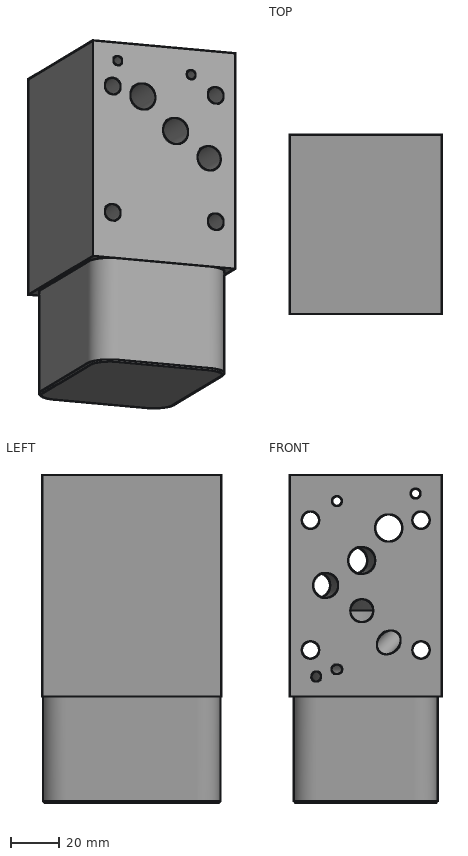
import cadquery as cq
import math

BLOCK_WIDTH = 63.5
BLOCK_DEPTH = 74.7
TOTAL_HEIGHT = 136.5
HOUSING_HEIGHT = 44.2
BLOCK_HEIGHT = TOTAL_HEIGHT - HOUSING_HEIGHT

HOUSING_WIDTH = 60.1
HOUSING_DEPTH = 74.0
HOUSING_CORNER_RADIUS = 9.5
HOUSING_BOTTOM_CHAMFER = 0.8

STRAIGHT_IN = (0, 1, 0)
THROUGH_LENGTH = 1.1 * BLOCK_DEPTH

MOUNT_DIAMETER = 7.1
MOUNT_SPACING_X = 46.0
MOUNT_SPACING_Z = 54.0
MOUNT_BOTTOM_Z = 19.4

TANK_PORT_X = 9.5
PILOT_X = -12.0
PILOT_DIAMETER = 4.0
STRAIGHT_HOLES = [
    (TANK_PORT_X, 70.2, 11.2),
    (PILOT_X, 81.4, PILOT_DIAMETER),
    (20.8, 84.5, PILOT_DIAMETER),
]

WORK_PORT_X = -1.6
LEAN_SHIFT = 3.4
LEANING_PORTS = [
    (WORK_PORT_X, 56.7, 11.2),
    (-16.7, 46.3, 10.4),
]

OBLIQUE_DEPTH_RATIO = 3.2
OBLIQUE_HOLES = [
    (TANK_PORT_X, 22.5, 8.9, 35.0, 45.0),
    (PILOT_X, 11.3, PILOT_DIAMETER, 28.0, 180.0),
    (-20.6, 8.3, PILOT_DIAMETER, 22.0, -100.0),
]

BORE_RADIUS = 13.0
CARTRIDGE_PORT_Z = 35.8
CARTRIDGE_PORT_DIAMETER = 9.5
BORE_POINT_ANGLE = 118.0


def drill(x, z, diameter, length, direction):
    """Cylinder entering the port face at (x, z); starts outside the face and ends `length` beyond it."""
    axis = cq.Vector(*direction).normalized()
    start = cq.Vector(x, 0, z) - axis * diameter
    return cq.Workplane(cq.Solid.makeCylinder(diameter / 2, length + diameter, start, axis))


def oblique_drill(x, z, diameter, tilt, heading):
    """Blind hole tilted away from +Y by `tilt` degrees, towards `heading` in the XZ plane."""
    sideways = math.sin(math.radians(tilt))
    direction = (
        sideways * math.cos(math.radians(heading)),
        math.cos(math.radians(tilt)),
        sideways * math.sin(math.radians(heading)),
    )
    return drill(x, z, diameter, OBLIQUE_DEPTH_RATIO * diameter, direction)


def cartridge_bore():
    """Vertical bore from the underside, ending in a drill point."""
    point_height = BORE_RADIUS / math.tan(math.radians(BORE_POINT_ANGLE / 2))
    return (
        cq.Workplane("XZ", origin=(0, BLOCK_DEPTH / 2, 0))
        .polyline([
            (0, 0),
            (BORE_RADIUS, 0),
            (BORE_RADIUS, CARTRIDGE_PORT_Z),
            (0, CARTRIDGE_PORT_Z + point_height),
        ])
        .close()
        .revolve(360, (0, 0, 0), (0, 1, 0))
    )


def make_block():
    block = cq.Workplane("XY").box(BLOCK_WIDTH, BLOCK_DEPTH, BLOCK_HEIGHT, centered=(True, False, False))

    for x in (-MOUNT_SPACING_X / 2, MOUNT_SPACING_X / 2):
        for z in (MOUNT_BOTTOM_Z, MOUNT_BOTTOM_Z + MOUNT_SPACING_Z):
            block = block.cut(drill(x, z, MOUNT_DIAMETER, THROUGH_LENGTH, STRAIGHT_IN))

    for x, z, diameter in STRAIGHT_HOLES:
        block = block.cut(drill(x, z, diameter, THROUGH_LENGTH, STRAIGHT_IN))

    for x, z, diameter in LEANING_PORTS:
        block = block.cut(drill(x, z, diameter, THROUGH_LENGTH, (-LEAN_SHIFT, BLOCK_DEPTH, 0)))

    for x, z, diameter, tilt, heading in OBLIQUE_HOLES:
        block = block.cut(oblique_drill(x, z, diameter, tilt, heading))

    block = block.cut(cartridge_bore())
    port_depth = BLOCK_DEPTH / 2
    return block.cut(drill(WORK_PORT_X, CARTRIDGE_PORT_Z, CARTRIDGE_PORT_DIAMETER, port_depth, STRAIGHT_IN))


def make_housing():
    return (
        cq.Workplane("XY", origin=(0, BLOCK_DEPTH / 2, -HOUSING_HEIGHT))
        .box(HOUSING_WIDTH, HOUSING_DEPTH, HOUSING_HEIGHT, centered=(True, True, False))
        .edges("|Z").fillet(HOUSING_CORNER_RADIUS)
        .faces("<Z").edges().chamfer(HOUSING_BOTTOM_CHAMFER)
    )


block = make_block()
housing = make_housing()
result = cq.Compound.makeCompound([block.val(), housing.val()])